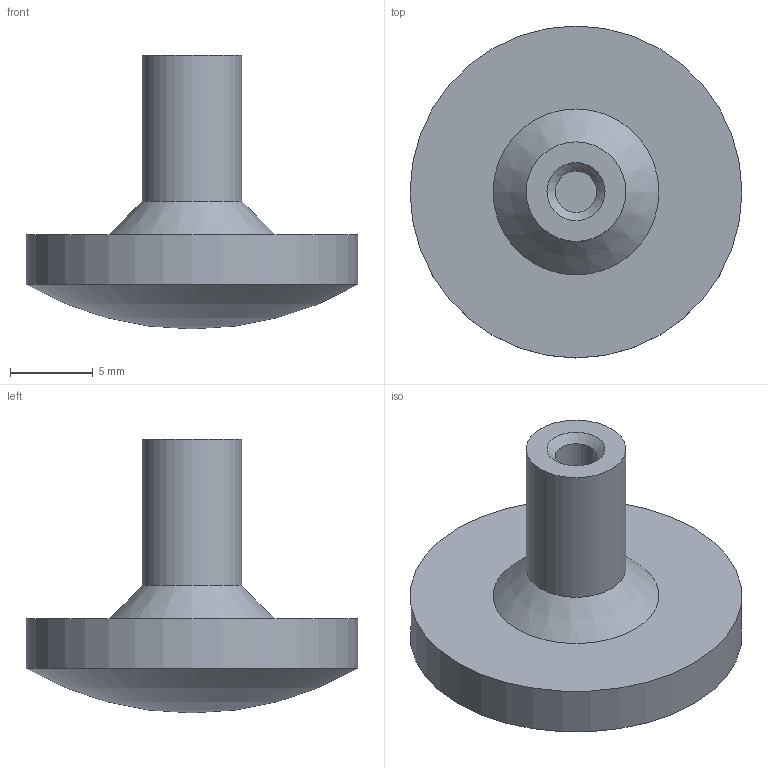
import cadquery as cq
import math

flange_diameter = 20.0
flange_thickness = 3.0
dome_sphere_radius = 20.0
overall_height = 16.5
stem_diameter = 6.0
cone_height = 2.0
hole_diameter = 2.5
hole_depth = 8.0
hole_chamfer = 0.5

flange_radius = flange_diameter / 2
stem_radius = stem_diameter / 2
cone_base_radius = stem_radius + cone_height
hole_radius = hole_diameter / 2
countersink_radius = hole_radius + hole_chamfer
dome_height = dome_sphere_radius - math.sqrt(dome_sphere_radius**2 - flange_radius**2)
stem_top = overall_height - dome_height
cone_top = flange_thickness + cone_height


def dome_point(radius):
    """Point of the dome profile at the given distance from the axis."""
    sphere_center_z = dome_sphere_radius - dome_height
    return (radius, sphere_center_z - math.sqrt(dome_sphere_radius**2 - radius**2))


def revolve_about_z(profile):
    return profile.close().revolve(360, (0, 0, 0), (0, 1, 0))


def make_body():
    """Domed flange, conical flare and stem turned as one profile."""
    profile = (
        cq.Workplane("XZ")
        .moveTo(*dome_point(0))
        .threePointArc(dome_point(flange_radius / 2), dome_point(flange_radius))
        .lineTo(flange_radius, flange_thickness)
        .lineTo(cone_base_radius, flange_thickness)
        .lineTo(stem_radius, cone_top)
        .lineTo(stem_radius, stem_top)
        .lineTo(0, stem_top)
    )
    return revolve_about_z(profile)


def make_hole():
    """Flat-bottomed blind hole with a chamfered mouth in the stem end."""
    hole_floor = stem_top - hole_depth
    profile = (
        cq.Workplane("XZ")
        .moveTo(0, hole_floor)
        .lineTo(hole_radius, hole_floor)
        .lineTo(hole_radius, stem_top - hole_chamfer)
        .lineTo(countersink_radius, stem_top)
        .lineTo(0, stem_top)
    )
    return revolve_about_z(profile)


result = make_body().cut(make_hole())